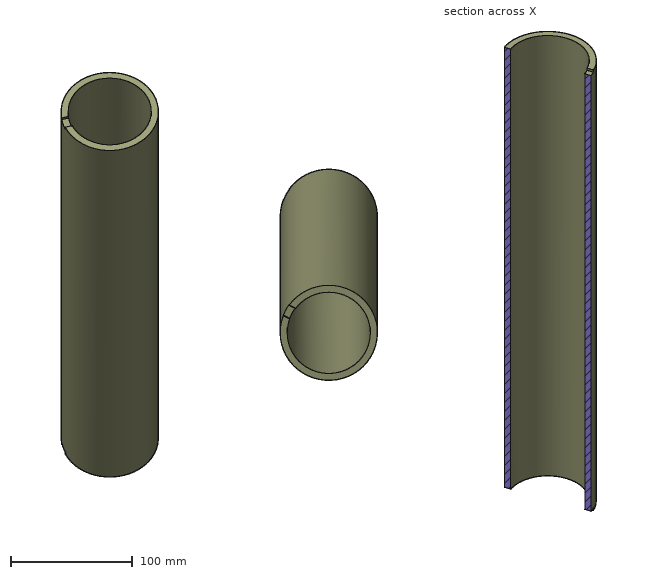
import cadquery as cq

length = 450.0
outer_diameter = 80.0
wall = 6.0
inner_diameter = outer_diameter - 2 * wall

notch_width = 10.0
notch_depth = 2.2


def end_notch(end_z):
    """Cutter running from the tube axis out through the -Y wall, centred on an end face."""
    return (
        cq.Workplane("XY")
        .box(notch_width, outer_diameter, 2 * notch_depth)
        .translate((0, -outer_diameter / 2, end_z))
    )


result = (
    cq.Workplane("XY")
    .circle(outer_diameter / 2)
    .circle(inner_diameter / 2)
    .extrude(length)
)

for end_z in (0, length):
    result = result.cut(end_notch(end_z))